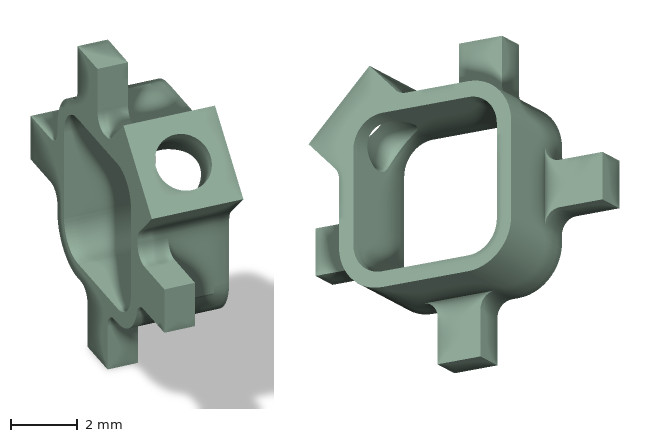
import cadquery as cq
import math

outer_half = 3.0
outer_corner_radius = 1.5
opening_half = 2.5
opening_corner_radius = 1.0
ring_depth = 3.0

arm_reach = 5.0
arm_width = 1.5
arm_depth = 1.0
root_radius = 0.5

blend_depth = 2.5

lug_width = 3.0
lug_face_distance = outer_half * math.sqrt(2)
lug_angle = 45.0
hole_diameter = 1.78


def front_plane():
    """Plane with local axes X and Z, extruding toward +Y."""
    return cq.Workplane(cq.Plane(origin=(0, 0, 0), xDir=(1, 0, 0), normal=(0, -1, 0)))


def rounded_square(half, radius, depth):
    return front_plane().rect(2 * half, 2 * half).extrude(-depth).edges("|Y").fillet(radius)


def turned(shape, angle):
    """Turn a shape about Y, anticlockwise as seen from the front."""
    return shape.rotate((0, 0, 0), (0, -1, 0), angle)


def root_fillet(edge_x, side):
    """Concave fillet beside an upright arm edge, standing on the flat top of the ring."""
    tangent_z = outer_half + root_radius
    mid_offset = root_radius * (1 - math.sqrt(0.5))
    return (
        front_plane()
        .moveTo(edge_x, outer_half)
        .lineTo(edge_x, tangent_z)
        .threePointArc(
            (edge_x + side * mid_offset, outer_half + mid_offset),
            (edge_x + side * root_radius, outer_half),
        )
        .close()
        .extrude(-arm_depth)
    )


def upright_arm(center_x):
    length = arm_reach - opening_half
    return (
        front_plane()
        .center(center_x, opening_half + length / 2)
        .rect(arm_width, length)
        .extrude(-arm_depth)
    )


def centered_arm():
    half_width = arm_width / 2
    return upright_arm(0).union(root_fillet(-half_width, -1)).union(root_fillet(half_width, 1))


def corner_blend():
    """Fillet from an arm edge down to the rounded corner, cut to the flat behind the arm."""
    edge_x = -arm_width
    corner_z = outer_half - outer_corner_radius
    center_x = edge_x - root_radius
    center_spacing = outer_corner_radius + root_radius
    center_z = corner_z + math.sqrt(center_spacing**2 - root_radius**2)

    share = outer_corner_radius / center_spacing
    tangent_x = edge_x + share * (center_x - edge_x)
    tangent_z = corner_z + share * (center_z - corner_z)

    start_angle = math.atan2(tangent_z - center_z, tangent_x - center_x)
    mid_x = center_x + root_radius * math.cos(start_angle / 2)
    mid_z = center_z + root_radius * math.sin(start_angle / 2)
    blend = (
        front_plane()
        .moveTo(tangent_x, tangent_z)
        .threePointArc((mid_x, mid_z), (edge_x, center_z))
        .lineTo(edge_x, corner_z)
        .close()
        .extrude(-blend_depth)
    )
    above_flat = (
        front_plane()
        .workplane(offset=-arm_depth)
        .center(0, (outer_half + arm_reach) / 2)
        .rect(2 * outer_half, arm_reach - outer_half)
        .extrude(arm_depth - blend_depth)
    )
    return blend.cut(above_flat)


def offset_arm():
    """Top arm with its left edge in line with the start of the ring corner."""
    return upright_arm(-arm_width / 2).union(root_fillet(0, 1)).union(corner_blend())


def mirrored_on_diagonal(shape):
    """Swap X and Z, which carries the top arm to the right side."""
    return turned(shape.mirror("YZ"), -90)


def lug_root_fillet():
    """Fillet between the upper side of the lug and the flat top of the ring."""
    corner_x = outer_half - lug_width / math.sqrt(2)
    half_angle = math.radians(lug_angle / 2)
    tangent_length = root_radius * math.tan(half_angle)
    tangent_x = corner_x - tangent_length
    side_step = tangent_length * math.sqrt(0.5)
    return (
        front_plane()
        .moveTo(corner_x, outer_half)
        .lineTo(tangent_x, outer_half)
        .threePointArc(
            (
                tangent_x + root_radius * math.sin(half_angle),
                outer_half + root_radius * (1 - math.cos(half_angle)),
            ),
            (corner_x + side_step, outer_half + side_step),
        )
        .close()
        .extrude(-ring_depth)
    )


def lug():
    block = (
        front_plane()
        .center(lug_face_distance / 2, 0)
        .rect(lug_face_distance, lug_width)
        .extrude(-ring_depth)
    )
    return turned(block, lug_angle)


def lug_hole():
    hole = (
        cq.Workplane("YZ")
        .center(ring_depth / 2, 0)
        .circle(hole_diameter / 2)
        .extrude(lug_face_distance)
    )
    return turned(hole, lug_angle)


top_arm = offset_arm()
upper_lug_fillet = lug_root_fillet()

body = rounded_square(outer_half, outer_corner_radius, ring_depth)
body = body.union(lug())
for fillet in (upper_lug_fillet, mirrored_on_diagonal(upper_lug_fillet)):
    body = body.union(fillet)
for arm in (top_arm, mirrored_on_diagonal(top_arm)):
    body = body.union(arm)
for arm_angle in (90, 180):
    body = body.union(turned(centered_arm(), arm_angle))

opening = rounded_square(opening_half, opening_corner_radius, ring_depth)
result = body.cut(opening).cut(lug_hole())